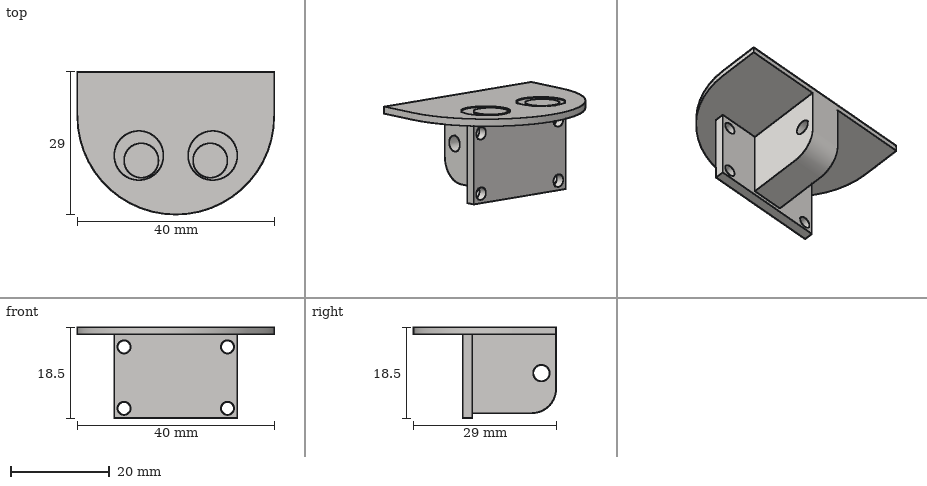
import cadquery as cq

plate_width = 40.0
plate_depth = 29.0
plate_thickness = 1.5
front_radius = plate_width / 2
straight_depth = plate_depth - front_radius

recess_diameter = 10.0
recess_spacing = 15.0
recess_y = -17.0
recess_depth = 0.2
disc_diameter = 7.0
disc_spacing = 14.0
disc_y = -18.0
disc_height = recess_depth

total_height = 18.5
wall_width = 25.0
wall_thickness = 2.0
wall_back_y = -17.0
wall_hole_diameter = 2.6
wall_hole_spacing_x = 21.0
wall_hole_top_z = -4.0
wall_hole_bottom_z = -16.5

block_width = 7.0
block_height = 17.5
block_corner_radius = 5.0
block_hole_diameter = 3.3
block_hole_y = -3.0
block_hole_z = -9.3


def make_plate():
    return (
        cq.Workplane("XY")
        .moveTo(-front_radius, 0)
        .lineTo(front_radius, 0)
        .lineTo(front_radius, -straight_depth)
        .threePointArc((0, -plate_depth), (-front_radius, -straight_depth))
        .close()
        .extrude(-plate_thickness)
    )


def make_round_pair(diameter, spacing, y, bottom_z, height):
    """Two vertical cylinders placed symmetrically about X = 0."""
    return (
        cq.Workplane("XY", origin=(0, 0, bottom_z))
        .pushPoints([(-spacing / 2, y), (spacing / 2, y)])
        .circle(diameter / 2)
        .extrude(height)
    )


def make_wall():
    wall = (
        cq.Workplane("XY", origin=(0, wall_back_y - wall_thickness / 2, -total_height))
        .rect(wall_width, wall_thickness)
        .extrude(total_height - plate_thickness)
    )
    hole_x = wall_hole_spacing_x / 2
    hole_points = [(x, z) for x in (-hole_x, hole_x) for z in (wall_hole_top_z, wall_hole_bottom_z)]
    holes = (
        cq.Workplane("XZ", origin=(0, wall_back_y, 0))
        .pushPoints(hole_points)
        .circle(wall_hole_diameter / 2)
        .extrude(wall_thickness)
    )
    return wall.cut(holes)


def make_hinge_block():
    """Block centred on X = 0 with a rounded lower back corner and a cross hole."""
    blank = (
        cq.Workplane("YZ")
        .moveTo(wall_back_y, -plate_thickness)
        .lineTo(0, -plate_thickness)
        .lineTo(0, -block_height)
        .lineTo(wall_back_y, -block_height)
        .close()
        .extrude(block_width / 2, both=True)
        .edges(">Y and <Z")
        .fillet(block_corner_radius)
    )
    hole = (
        cq.Workplane("YZ")
        .center(block_hole_y, block_hole_z)
        .circle(block_hole_diameter / 2)
        .extrude(block_width / 2, both=True)
    )
    return blank.cut(hole)


recess_floor_z = -recess_depth
recesses = make_round_pair(recess_diameter, recess_spacing, recess_y, recess_floor_z, recess_depth)
discs = make_round_pair(disc_diameter, disc_spacing, disc_y, recess_floor_z, disc_height)

result = make_plate().cut(recesses).union(discs).union(make_wall()).union(make_hinge_block())